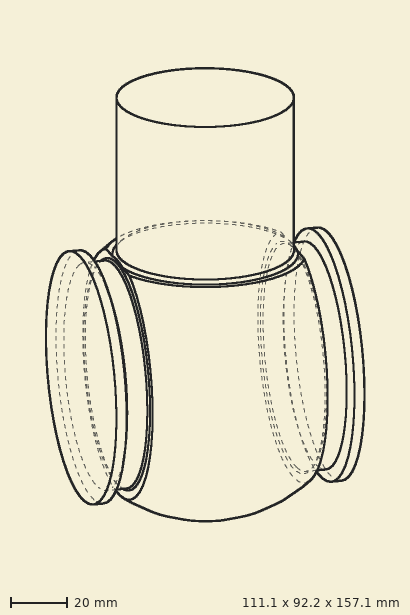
import cadquery as cq

overall_height = 157.1
sphere_diameter = 111.1
port_face_offset = 32.5
stem_face_offset = 42.5

stem_diameter = 63.5
stem_top = overall_height - sphere_diameter / 2

neck_diameter = 81.9
flange_diameter = 91.0
port_span = 92.2
rim_thickness = 3.8
taper_length = 1.5

stem_bead_size = 1.4
neck_bead_size = 0.8


def make_body():
    """Sphere trimmed flat below the stem."""
    trim_height = stem_face_offset + sphere_diameter / 2
    trim = cq.Workplane("XY").box(sphere_diameter, sphere_diameter, trim_height)
    trim = trim.translate((0, 0, stem_face_offset - trim_height / 2))
    return cq.Workplane("XY").sphere(sphere_diameter / 2).intersect(trim)


def make_stem():
    """Solid stem revolved about Z, with its weld bead."""
    radius = stem_diameter / 2
    profile = [
        (0, 0),
        (radius + stem_bead_size, 0),
        (radius + stem_bead_size, stem_face_offset),
        (radius, stem_face_offset + stem_bead_size),
        (radius, stem_top),
        (0, stem_top),
    ]
    return cq.Workplane("XZ").polyline(profile).close().revolve(360, (0, 0), (0, 1))


def make_port_slab():
    """Slab between the two port faces, taller than the whole part."""
    return cq.Workplane("XY").box(sphere_diameter, 2 * port_face_offset, 2 * overall_height)


def make_port():
    """Neck, weld bead and clamp flange on +Y, revolved about Y."""
    neck_radius = neck_diameter / 2
    flange_radius = flange_diameter / 2
    port_end = port_span / 2
    rim_back = port_end - rim_thickness
    profile = [
        (0, 0),
        (neck_radius + neck_bead_size, 0),
        (neck_radius + neck_bead_size, port_face_offset),
        (neck_radius, port_face_offset + neck_bead_size),
        (neck_radius, rim_back - taper_length),
        (flange_radius, rim_back),
        (flange_radius, port_end),
        (0, port_end),
    ]
    return cq.Workplane("XY").polyline(profile).close().revolve(360, (0, 0), (0, 1))


core = make_body().union(make_stem()).intersect(make_port_slab())
port = make_port()
result = core.union(port).union(port.mirror("XZ"))